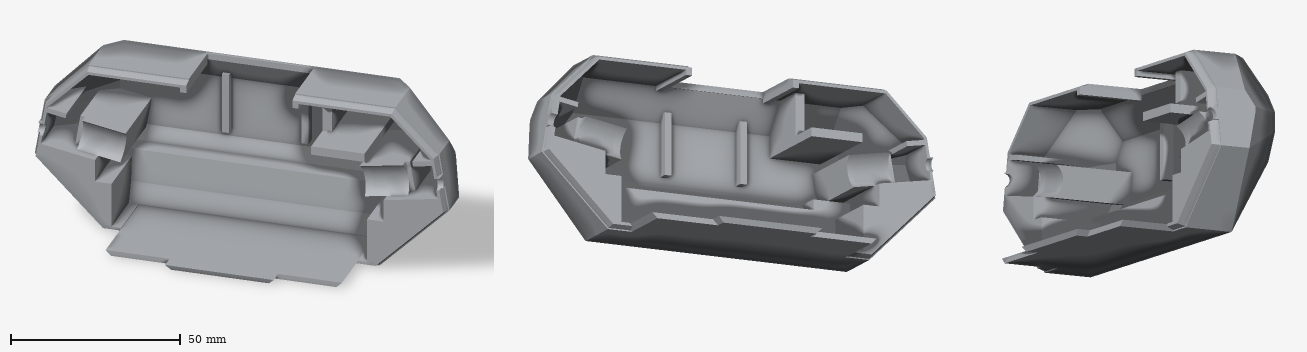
import cadquery as cq
import math


HEIGHT = 52.5
DEPTH = 30.5
WALL = 1.9
FITTING_INSET = 1.4
LIP_DEPTH = 2.7
LIP_ROOT_INSET = 0.4
LIP_TIP_INSET = 1.0
WIDEST_X, WIDEST_Z = 64.1, 21.2
SHOULDER_X, SHOULDER_Z = 61.0, 39.1
TOP_X = 47.5
BOTTOM_X = 42.6
FAR = 256.4

TOP_RIDGE_Y = 21.9
BACK_TOP_Z = 42.2
BACK_BOTTOM_Z = 22.0
BOTTOM_RIDGE_Y = 18.2
TOP_CORNER = (TOP_X, 16.7, HEIGHT)
SHOULDER_CORNER = (SHOULDER_X, 12.5, SHOULDER_Z)
SIDE_LOWER = (62.3, 15.1, 32.2)
WIDEST_CORNER = (WIDEST_X, 12.2, WIDEST_Z)
BOTTOM_CORNER = (BOTTOM_X, BOTTOM_RIDGE_Y, 0)
BACK_UPPER = (46.8, DEPTH, 36.3)
BACK_LOWER = (46.8, DEPTH, 30.5)
BACK_BOTTOM = (42.7, DEPTH, BACK_BOTTOM_Z)

WINDOW_HALF = 16.4
WINDOW_DEPTH = 20.8
RAIL_WIDTH = 1.9
RAIL_DROP = 1.5

CHANNEL_HALF = 39.5
CHANNEL_SHELF_HALF = 44.6
CHANNEL_SHELF_Z = 15.9
LEDGE_Y, LEDGE_Z = 20.0, 18.2
BEND_Y, BEND_Z = 18.8, 8.2
CHANNEL_FOOT_Y = 16.8
STOP_X = 32.7
STOP_Z = 21.5

TILT = math.degrees(math.atan2(WIDEST_X - SHOULDER_X, SHOULDER_Z - WIDEST_Z))
SEAT_X, SEAT_Z = -50.4, 28.8
SEAT_LENGTH = 13.6
SEAT_HALF_HEIGHT = 4.9
SEAT_FRONT_Y = 3.1
SEAT_RADIUS = math.hypot(SEAT_HALF_HEIGHT, SEAT_FRONT_Y)
RELIEF_WIDTH = 1.4
TAB_END = -4.4
TAB_BOTTOM, TAB_TOP = 5.8, 7.3

CABLE_RADIUS = 1.9
CABLE_Z = 30.9

RIB_OFFSET = 12.3
RIB_WIDTH = 2.2
RIB_BOTTOM_Z, RIB_TOP_Z = 25.0, 44.1
RIB_FRONT_Y = 25.3
SHELF_LEFT, SHELF_RIGHT = 22.3, 38.8
SHELF_BOTTOM_Z, SHELF_TOP_Z = 34.7, 37.5
SHELF_FRONT_Y = -0.4
SHELF_POST_WIDTH = 3.0
SHELF_POST_FRONT_Y = 10.6

DOOR_THICKNESS = 1.7
DOOR_HALF = 36.5
DOOR_FRONT_Y = -15.1
TONGUE_HALF = 16.8
DOOR_TIP_Y = -19.5
TONGUE_TIP_BEVEL = 0.8


def box(x0, x1, y0, y1, z0, z1):
    """Box between the given limits."""
    return cq.Workplane("XY").box(x1 - x0, y1 - y0, z1 - z0, centered=False).translate((x0, y0, z0))


def extrude_xz(points, y0, y1):
    """Outline in X and Z, extruded from y0 to y1."""
    return cq.Workplane("XZ", origin=(0, y0, 0)).polyline(points).close().extrude(y0 - y1)


def extrude_yz(points, x0, x1):
    """Outline in Y and Z, extruded from x0 to x1."""
    return cq.Workplane("YZ", origin=(x0, 0, 0)).polyline(points).close().extrude(x1 - x0)


def mirrored(solid):
    """The solid together with its mirror image across X = 0."""
    return solid.union(solid.mirror("YZ"))


def outline(inset, y0, y1, taper=0):
    """Eight-sided body of the shell from y0 to y1, moved inward by inset."""
    right = [(BOTTOM_X, 0), (WIDEST_X, WIDEST_Z), (SHOULDER_X, SHOULDER_Z), (TOP_X, HEIGHT)]
    left = [(-x, z) for x, z in reversed(right)]
    wire = cq.Workplane("XZ", origin=(0, y0, 0)).polyline(right + left).close()
    if inset:
        wire = wire.offset2D(-inset, "intersection")
    return wire.extrude(y0 - y1, taper=taper)


def outside_of(a, b, c, inset):
    """Space beyond the plane through a, b and c, moved inward by inset."""
    a, b, c = cq.Vector(*a), cq.Vector(*b), cq.Vector(*c)
    normal = (b - a).cross(c - a).normalized()
    inside = cq.Vector(0, 0, HEIGHT / 2)
    if (a - inside).dot(normal) < 0:
        normal = normal * -1
    plane = cq.Plane(origin=a - normal * inset, xDir=b - a, normal=normal)
    return cq.Workplane(plane).rect(FAR, FAR).extrude(FAR)


def faceted_body(inset, y0):
    """Outline with its sloped and faceted back, all faces moved inward by inset."""
    body = outline(inset, y0, DEPTH - inset)
    slopes = [
        ((0, TOP_RIDGE_Y, HEIGHT), (1.3, TOP_RIDGE_Y, HEIGHT), (0, DEPTH, BACK_TOP_Z)),
        ((0, BOTTOM_RIDGE_Y, 0), (1.3, BOTTOM_RIDGE_Y, 0), (0, DEPTH, BACK_BOTTOM_Z)),
    ]
    corners = [
        (TOP_CORNER, SHOULDER_CORNER, BACK_UPPER),
        (SIDE_LOWER, BACK_UPPER, BACK_LOWER),
        (SIDE_LOWER, WIDEST_CORNER, BACK_LOWER),
        (WIDEST_CORNER, BACK_BOTTOM, BACK_LOWER),
        (WIDEST_CORNER, BOTTOM_CORNER, BACK_BOTTOM),
    ]
    for facet in slopes:
        body = body.cut(outside_of(*facet, inset))
    for facet in corners:
        body = body.cut(mirrored(outside_of(*facet, inset)))
    return body


def tilted(solid):
    """Move a solid from the seat's own frame, X inward along its axis, to the -X end."""
    return solid.rotate((0, 0, 0), (0, 1, 0), TILT).translate((SEAT_X, 0, SEAT_Z))


def shell():
    """Hollow half shell with a stepped lip along the parting plane."""
    taper = math.degrees(math.atan2(LIP_TIP_INSET - LIP_ROOT_INSET, LIP_DEPTH))
    lip = outline(LIP_ROOT_INSET, LIP_DEPTH, 0, taper)
    lip_step = outline(0, LIP_DEPTH, 0).cut(lip)
    cable_gaps = box(-FAR, FAR, 0, LIP_DEPTH, CABLE_Z - CABLE_RADIUS, CABLE_Z + CABLE_RADIUS)
    return faceted_body(0, 0).cut(lip_step.cut(cable_gaps)).cut(faceted_body(WALL, 0))


def top_window():
    """Opening in the top wall, open toward the parting plane."""
    return box(-WINDOW_HALF, WINDOW_HALF, 0, WINDOW_DEPTH, HEIGHT / 2, HEIGHT)


def window_rails():
    """Ribs that hang from the top wall along both sides of the window."""
    ceiling = HEIGHT - WALL
    return mirrored(
        box(WINDOW_HALF, WINDOW_HALF + RAIL_WIDTH, 0, WINDOW_DEPTH, ceiling - RAIL_DROP, ceiling)
    )


def channel_wall():
    """Solid behind the battery, with a bent front face, a ledge on top and a raised stop."""
    face_slope = (LEDGE_Y - BEND_Y) / (LEDGE_Z - BEND_Z)
    stop_y = LEDGE_Y + face_slope * (STOP_Z - LEDGE_Z)
    wall = extrude_yz(
        [(CHANNEL_FOOT_Y, 0), (CHANNEL_FOOT_Y, DOOR_THICKNESS), (BEND_Y, BEND_Z),
         (LEDGE_Y, LEDGE_Z), (DEPTH, LEDGE_Z), (DEPTH, 0)],
        -CHANNEL_SHELF_HALF, CHANNEL_SHELF_HALF,
    )
    stop = extrude_yz(
        [(LEDGE_Y, LEDGE_Z), (stop_y, STOP_Z), (DEPTH, STOP_Z), (DEPTH, LEDGE_Z)],
        STOP_X, CHANNEL_SHELF_HALF,
    )
    return wall.union(stop)


def corner_blocks():
    """Blocks in the lower corners, stepped toward the channel and level with the seat bottoms."""
    low = box(-FAR, -CHANNEL_HALF, 0, DEPTH, 0, CHANNEL_SHELF_Z)
    high = box(-FAR, -CHANNEL_SHELF_HALF, 0, DEPTH, CHANNEL_SHELF_Z, HEIGHT)
    above_seat_bottom = tilted(box(-FAR, FAR, 0, DEPTH, -SEAT_HALF_HEIGHT, FAR))
    return mirrored(low.union(high).cut(above_seat_bottom))


def seats():
    """Half-round cradles, each with a square relief at its outer end."""
    block = box(-RELIEF_WIDTH, SEAT_LENGTH, SEAT_FRONT_Y, DEPTH, -SEAT_HALF_HEIGHT, SEAT_HALF_HEIGHT)
    groove = cq.Workplane("YZ").circle(SEAT_RADIUS).extrude(SEAT_LENGTH)
    relief = box(-RELIEF_WIDTH, 0, 0, SEAT_RADIUS, -SEAT_HALF_HEIGHT, SEAT_HALF_HEIGHT)
    return mirrored(tilted(block.cut(groove).cut(relief)))


def tabs():
    """Thin shelves above the seats, reaching in from the side walls."""
    return mirrored(tilted(box(-FAR, TAB_END, 0, DEPTH, TAB_BOTTOM, TAB_TOP)))


def back_ribs():
    """Pair of upright ribs on the back wall."""
    half = RIB_WIDTH / 2
    return mirrored(
        box(RIB_OFFSET - half, RIB_OFFSET + half, RIB_FRONT_Y, DEPTH, RIB_BOTTOM_Z, RIB_TOP_Z)
    )


def shelf():
    """L-shaped bracket: a shelf and a post that joins it to the top wall."""
    plate = box(SHELF_LEFT, SHELF_RIGHT, SHELF_FRONT_Y, DEPTH, SHELF_BOTTOM_Z, SHELF_TOP_Z)
    post_right = SHELF_LEFT + SHELF_POST_WIDTH
    post = box(SHELF_LEFT, post_right, SHELF_POST_FRONT_Y, DEPTH, SHELF_TOP_Z, HEIGHT)
    return plate.union(post)


def cable_holes():
    """Half-round holes through both end walls, square to the walls."""
    hole = cq.Workplane("YZ").circle(CABLE_RADIUS).extrude(2 * (WIDEST_X - SHOULDER_X))
    hole = hole.rotate((0, 0, 0), (0, 1, 0), TILT).translate((-WIDEST_X, 0, CABLE_Z))
    return mirrored(hole)


def door_panel(half, y0, y1, tip_bevel):
    """Flat panel with flanks beveled underneath at 45 degrees and an optional bevel at its tip."""
    bottom_half = half - DOOR_THICKNESS
    flanks = [(-bottom_half, 0), (bottom_half, 0), (half, DOOR_THICKNESS), (-half, DOOR_THICKNESS)]
    side = [(y0 + tip_bevel, 0), (y1, 0), (y1, DOOR_THICKNESS), (y0, DOOR_THICKNESS)]
    return extrude_xz(flanks, y0, y1).intersect(extrude_yz(side, -half, half))


def make_door():
    """Flat battery door with a tongue along the middle of its front edge."""
    panel = door_panel(DOOR_HALF, DOOR_FRONT_Y, CHANNEL_FOOT_Y, 0)
    return panel.union(door_panel(TONGUE_HALF, DOOR_TIP_Y, 0, TONGUE_TIP_BEVEL))


def make_housing(door):
    """Half shell with its fittings, rooted partway into the walls, and the door opening cut out."""
    fittings = channel_wall()
    for part in (corner_blocks(), seats(), tabs(), back_ribs(), window_rails(), shelf()):
        fittings = fittings.union(part)
    limits = faceted_body(FITTING_INSET, SHELF_FRONT_Y)
    housing = shell().union(fittings.intersect(limits))
    door_opening = box(-DOOR_HALF, DOOR_HALF, 0, CHANNEL_FOOT_Y, DOOR_THICKNESS, WALL)
    return housing.cut(top_window()).cut(cable_holes()).cut(door_opening).cut(door)


door = make_door()
housing = make_housing(door)
result = cq.Compound.makeCompound([housing.val(), door.val()])